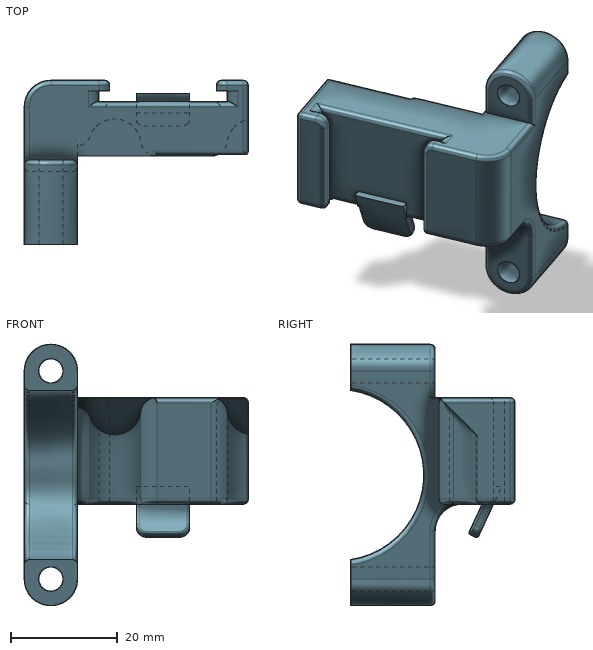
import cadquery as cq
import math

total_width = 42.0
total_depth = 30.8
total_height = 49.0
edge_round = 1.0

clamp_width = 10.0
clamp_depth = 15.9
ear_radius = clamp_width / 2
ear_z = total_height / 2 - ear_radius
screw_hole_diameter = 4.5
bore_radius = 16.0
bore_y = -2.3

holder_top = 14.5
holder_height = 20.0
holder_bottom = holder_top - holder_height
holder_front = 16.6
holder_root = 14.8
corner_radius = 5.0

grip_left = 24.85
grip_right = 35.05
groove_radius = 4.9
grip_radius = 3.05
grip_angle = math.radians(83)
root_radius = 2.45
groove_corner_round = 0.4

slot_width = 24.0
slot_right_wall = 3.95
slot_x = total_width - slot_right_wall - slot_width / 2
lip_thickness = 2.0
lip_reach = 2.0
slot_depth = 2.0
lead_in_radius = 2.0
lip_y = total_depth - lip_thickness
slot_floor = lip_y - slot_depth

tab_width = 10.0
tab_thickness = 1.95
tab_tilt = 25.0
tab_tip_z = -11.85
tab_stop_y = 28.35
tab_corner_radius = 2.0
tab_edge_round = 0.5


def edge_trim(start, end, y, inward):
    """Bar along X that rounds a top edge of the block; inward is the sign of Y into the material."""
    return (
        cq.Workplane("YZ", origin=(start, y, holder_top))
        .moveTo(0, 0)
        .lineTo(0, -edge_round)
        .radiusArc((inward * edge_round, 0), inward * edge_round)
        .close()
        .extrude(end - start)
    )


def make_trim_end():
    """Bowl in which the rounded front top edge runs out beside the grip."""
    return (
        cq.Workplane("XZ", origin=(grip_left, holder_front, holder_top))
        .moveTo(0, 0)
        .lineTo(0, -edge_round)
        .radiusArc((edge_round, 0), edge_round)
        .close()
        .revolve(360, (0, 0), (0, 1))
    )


def flared_channel(width, y_start, y_end):
    """Vertical channel centred on the slot, widening at the top with rounded sides."""
    half = width / 2
    straight_top = holder_top - lead_in_radius
    return (
        cq.Workplane("XZ", origin=(slot_x, y_end, 0))
        .moveTo(-half, holder_bottom)
        .lineTo(half, holder_bottom)
        .lineTo(half, straight_top)
        .radiusArc((half + lead_in_radius, holder_top), lead_in_radius)
        .lineTo(-half - lead_in_radius, holder_top)
        .radiusArc((-half, straight_top), lead_in_radius)
        .close()
        .extrude(y_end - y_start)
    )


def on_arc(center, radius, angle):
    """Point on a circle; the angle is measured from +X."""
    return (center[0] + radius * math.cos(angle), center[1] + radius * math.sin(angle))


def edge_box(low, high):
    """Selects the edges whose middle lies between two corner points, with a little margin."""
    margin = 0.05
    return cq.selectors.BoxSelector(
        tuple(value - margin for value in low),
        tuple(value + margin for value in high),
    )


def make_clamp():
    column = (
        cq.Workplane("XZ", origin=(clamp_width / 2, 0, 0))
        .slot2D(total_height, clamp_width, 90)
        .extrude(-clamp_depth)
        .faces(">Y").edges().fillet(edge_round)
    )
    bore = (
        cq.Workplane("YZ").center(bore_y, 0)
        .circle(bore_radius).extrude(clamp_width)
    )
    column = column.cut(bore)
    bore_rims = edge_box(
        (0, bore_y, -bore_radius),
        (clamp_width, bore_y + bore_radius, bore_radius),
    )
    column = column.edges("%CIRCLE").edges(bore_rims).fillet(edge_round)
    holes = (
        cq.Workplane("XZ")
        .pushPoints([(clamp_width / 2, ear_z), (clamp_width / 2, -ear_z)])
        .circle(screw_hole_diameter / 2)
        .extrude(-clamp_depth)
    )
    return column.cut(holes)


def make_web():
    """Concave fillet between the column's back and the underside of the block."""
    web_end = clamp_depth + corner_radius
    web_bottom = holder_bottom - corner_radius
    web_top = holder_bottom + 2 * edge_round
    return (
        cq.Workplane("YZ")
        .moveTo(holder_root, web_bottom)
        .lineTo(clamp_depth, web_bottom)
        .radiusArc((web_end, holder_bottom), corner_radius)
        .lineTo(web_end, web_top)
        .lineTo(holder_root, web_top)
        .close()
        .extrude(clamp_width)
        .edges("%CIRCLE").fillet(edge_round)
    )


def make_block():
    return (
        cq.Workplane("XY", origin=(0, 0, holder_bottom))
        .moveTo(0, holder_root)
        .lineTo(clamp_width, holder_root)
        .lineTo(clamp_width, holder_front)
        .lineTo(total_width, holder_front)
        .lineTo(total_width, total_depth - edge_round)
        .radiusArc((total_width - edge_round, total_depth), -edge_round)
        .lineTo(corner_radius, total_depth)
        .radiusArc((0, total_depth - corner_radius), -corner_radius)
        .close()
        .extrude(holder_height)
    )


def make_grooves():
    """Both finger grooves, closed off above by a 45 degree slope up to the front top edge."""
    reach = (groove_radius + grip_radius) * math.sin(grip_angle)
    depth = (groove_radius + grip_radius) * (1 - math.cos(grip_angle))
    axis_y = holder_front + depth - groove_radius
    left_axis = (grip_left - reach, axis_y)
    right_axis = (grip_right + reach, axis_y)
    grip_turn = math.pi / 2 - grip_angle

    root_angle = math.asin((left_axis[0] - clamp_width) / (groove_radius + root_radius))
    root_y = axis_y + groove_radius - (groove_radius + root_radius) * (1 - math.cos(root_angle))
    left_start = on_arc(left_axis, groove_radius, math.pi / 2 + root_angle)

    left = (
        cq.Workplane("XY", origin=(0, 0, holder_bottom))
        .moveTo(clamp_width, holder_front)
        .lineTo(clamp_width, root_y)
        .radiusArc(left_start, -root_radius)
        .radiusArc(on_arc(left_axis, groove_radius, grip_turn), groove_radius)
        .radiusArc((grip_left, holder_front), -grip_radius)
        .close()
        .extrude(holder_height)
    )
    right = (
        cq.Workplane("XY", origin=(0, 0, holder_bottom))
        .moveTo(grip_right, holder_front)
        .radiusArc(on_arc(right_axis, groove_radius, math.pi - grip_turn), -grip_radius)
        .radiusArc((right_axis[0], axis_y + groove_radius), groove_radius)
        .lineTo(right_axis[0], holder_front)
        .close()
        .extrude(holder_height)
    )
    below_slope = (
        cq.Workplane("YZ")
        .moveTo(holder_front, holder_top)
        .lineTo(holder_front + holder_height, holder_bottom)
        .lineTo(holder_front, holder_bottom)
        .close()
        .extrude(total_width + groove_radius)
    )
    return left.union(right).intersect(below_slope)


def make_slot():
    """Slot for a sliding plate; its floor and both ends widen at the top."""
    flared_width = slot_width + 2 * lead_in_radius
    floor_lead_in = edge_trim(
        slot_x - flared_width / 2, slot_x + flared_width / 2, slot_floor, -1
    )
    straight = flared_channel(slot_width, slot_floor, lip_y)
    flared = flared_channel(slot_width, slot_floor - edge_round, lip_y)
    return straight.union(floor_lead_in.intersect(flared))


def make_holder():
    holder = make_block()

    lip_gap = flared_channel(slot_width - 2 * lip_reach, slot_floor, total_depth)
    holder = holder.cut(lip_gap)
    back_rim = edge_box(
        (0, total_depth, holder_bottom + edge_round),
        (total_width, total_depth, holder_top),
    )
    lip_edges = holder.edges(back_rim)
    side_edges = holder.edges(">Z").edges("<X or >X")
    holder = holder.newObject(lip_edges.vals() + side_edges.vals()).fillet(edge_round)

    holder = holder.cut(make_grooves())
    groove_corner = edge_box(
        (total_width, holder_front + edge_round, holder_bottom),
        (total_width, slot_floor, holder_top),
    )
    holder = holder.edges("|Z").edges(groove_corner).fillet(groove_corner_round)

    bottom_rim = edge_box(
        (0, holder_root + edge_round, holder_bottom),
        (total_width, total_depth, holder_bottom),
    )
    holder = holder.edges(bottom_rim).fillet(edge_round)

    holder = holder.cut(edge_trim(grip_left, total_width, holder_front, 1))
    holder = holder.cut(make_trim_end())
    return holder.cut(make_slot())


def tilt_tab(slab, tip_y):
    """Tilts an upright slab about its lower back edge and moves that edge to the tip."""
    return slab.rotate((0, 0, 0), (1, 0, 0), -tab_tilt).translate((slot_x, tip_y, tab_tip_z))


def level_layer(low_z, high_z):
    """Flat layer between two heights, wide enough to cover the part."""
    side = 3 * total_width
    return cq.Workplane("XY", origin=(0, 0, low_z)).rect(side, side).extrude(high_z - low_z)


def make_tab():
    """Thin tab hanging out of the slot; its flat top is a stop inside the slot."""
    tilt = math.radians(tab_tilt)
    stop_z = holder_bottom + (tab_stop_y - slot_floor) / math.tan(tilt)
    tip_y = slot_floor - (holder_bottom - tab_tip_z) * math.tan(tilt)
    length = 2 * (stop_z - tab_tip_z)
    slab = (
        cq.Workplane("XY")
        .box(tab_width, tab_thickness, length, centered=(True, False, False))
        .translate((0, -tab_thickness, 0))
    )
    rounded_slab = (
        slab.edges("|Y and <Z").fillet(tab_corner_radius)
        .faces("<Y or >Y").edges().fillet(tab_edge_round)
    )

    upper = tilt_tab(slab, tip_y).intersect(level_layer(holder_bottom, stop_z))
    lower = tilt_tab(rounded_slab, tip_y).intersect(level_layer(tab_tip_z - length, holder_bottom))
    return upper.union(lower)


result = make_clamp().union(make_web()).union(make_holder()).union(make_tab())